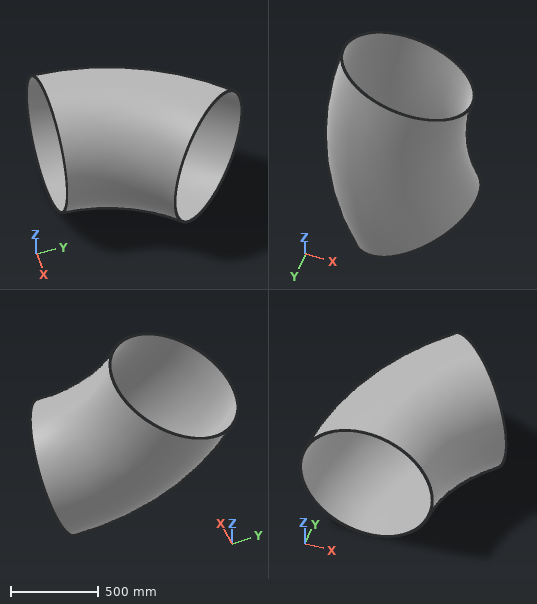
import cadquery as cq
import math

outer_reach = 1149.0
bend_angle = 45.0
bend_ratio = 1.5
wall = 5.0

outside_bend_radius = outer_reach / math.sin(math.radians(bend_angle))
outer_diameter = outside_bend_radius / (bend_ratio + 0.5)
bend_radius = bend_ratio * outer_diameter
outer_radius = outer_diameter / 2
inner_radius = outer_radius - wall

ring = cq.Workplane("XZ").circle(outer_radius).circle(inner_radius)
result = ring.revolve(bend_angle, (bend_radius, 11, 0), (bend_radius, 0, 0))